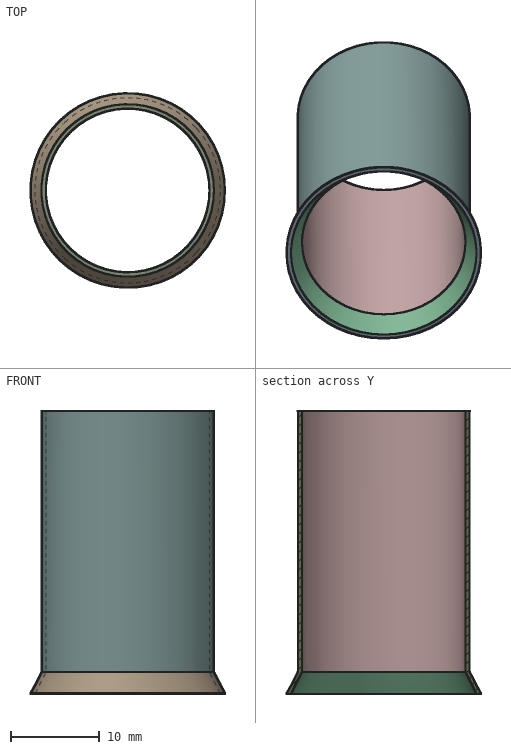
import cadquery as cq

height = 32.0
tube_outer_diameter = 19.5
wall = 0.5
flare_outer_diameter = 22.0
flare_height = 2.5
rim_height = 0.1

tube_outer_radius = tube_outer_diameter / 2
tube_inner_radius = tube_outer_radius - wall
flare_outer_radius = flare_outer_diameter / 2
flare_inner_radius = flare_outer_radius - wall

profile = (
    cq.Workplane("XZ")
    .moveTo(flare_inner_radius, 0)
    .lineTo(flare_outer_radius, 0)
    .lineTo(flare_outer_radius, rim_height)
    .lineTo(tube_outer_radius, flare_height)
    .lineTo(tube_outer_radius, height)
    .lineTo(tube_inner_radius, height)
    .lineTo(tube_inner_radius, flare_height)
    .close()
)

result = profile.revolve(360, (0, 0, 0), (0, 1, 0))